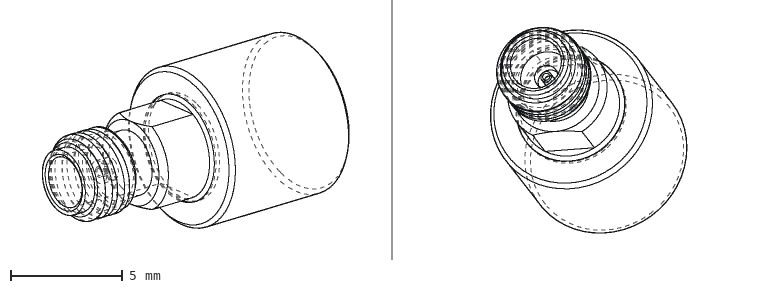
import cadquery as cq


total_length = 13.7
housing_radius = 3.747
housing_front = 6.7
housing_chamfer = 0.2

flange_radius = 2.51
flange_front = 6.59
flange_thickness = 0.41

wrench_radius = 2.3
wrench_front = 3.89
wrench_chamfer = 0.3
across_flats = 4.0

neck_radius = 1.52
thread_radius = 2.0
thread_front = 0.55
thread_back = 2.8
thread_chamfer = 0.29
thread_pitch = 0.7
groove_depth = 0.27
groove_width = 0.4
groove_start = -0.41
groove_turns = 5.7
cutter_overlap = 0.05

bore_radius = 1.18
bore_mouth_radius = 1.32
bore_mouth_depth = 0.08
bore_depth = 2.05
dielectric_radius = 0.53
dielectric_depth = 0.68
contact_radius = 0.25
contact_hole_radius = 0.16
contact_hole_depth = 0.41


def cylinder(radius, start, end):
    """Solid cylinder along +Y between two Y positions."""
    return cq.Workplane("XZ", origin=(0, start, 0)).circle(radius).extrude(start - end)


def make_housing():
    body = cylinder(housing_radius, housing_front, total_length)
    body = body.edges("%CIRCLE").chamfer(housing_chamfer)
    recess = cylinder(flange_radius, housing_front, flange_front + flange_thickness)
    return body.cut(recess)


def make_thread():
    groove_end = groove_start + thread_pitch * groove_turns
    rod = cylinder(thread_radius, groove_start - thread_pitch, groove_end + thread_pitch)
    envelope = cylinder(thread_radius, thread_front, thread_back)
    envelope = envelope.edges("%CIRCLE").chamfer(thread_chamfer)
    outer_radius = thread_radius + cutter_overlap
    root_radius = thread_radius - groove_depth
    helix = cq.Wire.makeHelix(thread_pitch, thread_pitch * groove_turns, root_radius)
    half_width = groove_width / 2 * (groove_depth + cutter_overlap) / groove_depth
    groove = (
        cq.Workplane("XZ")
        .polyline([(root_radius, 0), (outer_radius, half_width), (outer_radius, -half_width)])
        .close()
        .sweep(cq.Workplane(obj=helix), isFrenet=True)
        .rotate((0, 0, 0), (1, 0, 0), -90)
        .translate((0, groove_start, 0))
    )
    return rod.cut(groove).intersect(envelope)


def make_wrench_section():
    body = cylinder(wrench_radius, wrench_front, flange_front)
    body = body.faces("<Y").chamfer(wrench_chamfer)
    length = flange_front - wrench_front
    slab = cq.Workplane("XY").box(2 * wrench_radius, length, across_flats)
    return body.intersect(slab.translate((0, wrench_front + length / 2, 0)))


def make_flange():
    flange = cylinder(flange_radius, flange_front, flange_front + flange_thickness)
    return flange.faces("<Y").chamfer(flange_radius - wrench_radius)


def cut_socket(body):
    bore = cylinder(bore_radius, 0, bore_depth)
    mouth = (
        cq.Workplane("XZ")
        .circle(bore_mouth_radius)
        .workplane(offset=-bore_mouth_depth)
        .circle(bore_radius)
        .loft(ruled=True)
    )
    gap = cylinder(dielectric_radius, bore_depth, bore_depth + dielectric_depth)
    gap = gap.cut(cylinder(contact_radius, bore_depth, bore_depth + dielectric_depth))
    contact_hole = cylinder(contact_hole_radius, bore_depth, bore_depth + contact_hole_depth)
    return body.cut(bore).cut(mouth).cut(gap).cut(contact_hole)


def make_connector():
    body = cylinder(neck_radius, 0, wrench_front)
    body = body.union(make_thread()).union(make_wrench_section()).union(make_flange())
    return cut_socket(body)


housing = make_housing()
connector = make_connector()
result = cq.Compound.makeCompound([housing.val(), *connector.solids().vals()])